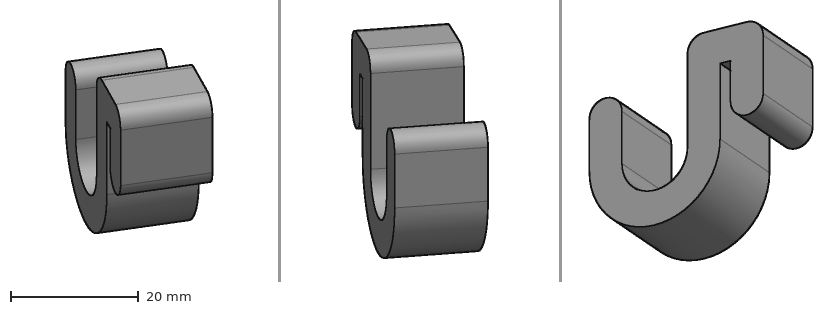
import cadquery as cq

wall = 6.0
depth = 15.0
total_height = 31.0
slot_width = 1.9
tip_height = 24.0
lip_bottom = 15.0

end_radius = wall / 2
inner_radius = wall
outer_radius = inner_radius + wall
bend_z = outer_radius
tip_z = tip_height - end_radius
stem_left = wall + 2 * inner_radius
stem_right = stem_left + wall
lip_left = stem_right + slot_width
lip_right = lip_left + wall
slot_top = total_height - wall
lip_z = lip_bottom + end_radius

profile = (
    cq.Workplane("XZ")
    .moveTo(0, bend_z)
    .lineTo(0, tip_z)
    .threePointArc((end_radius, tip_height), (wall, tip_z))
    .lineTo(wall, bend_z)
    .threePointArc((outer_radius, bend_z - inner_radius), (stem_left, bend_z))
    .lineTo(stem_left, total_height)
    .lineTo(lip_right, total_height)
    .lineTo(lip_right, lip_z)
    .threePointArc((lip_right - end_radius, lip_bottom), (lip_left, lip_z))
    .lineTo(lip_left, slot_top)
    .lineTo(stem_right, slot_top)
    .lineTo(stem_right, bend_z)
    .threePointArc((outer_radius, 0), (0, bend_z))
    .close()
)
hook = profile.extrude(depth)

result = hook.faces(">Z").edges("|Y").fillet(end_radius)